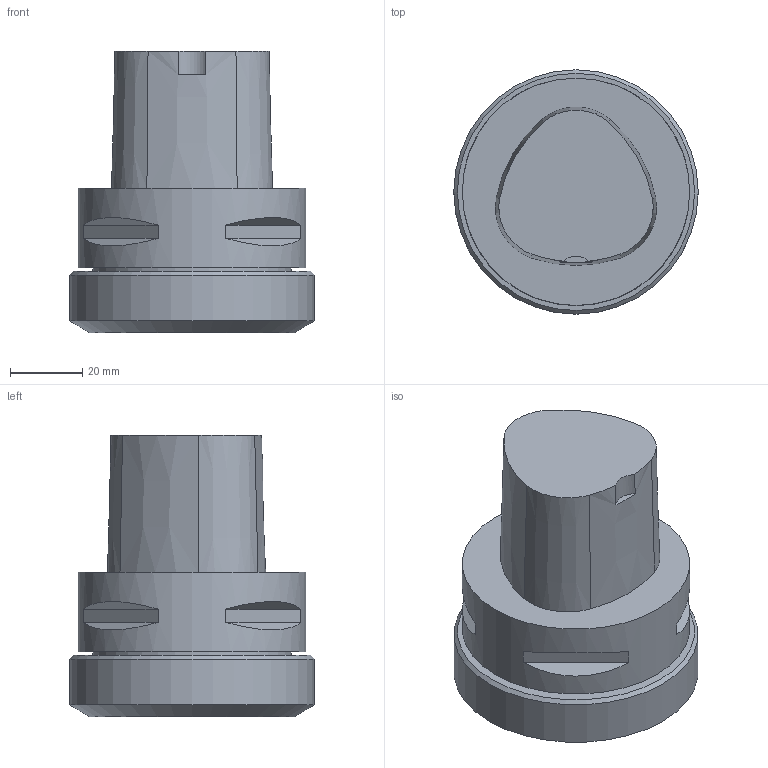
import cadquery as cq
import math

FLANGE_DIAMETER = 67.7
FLANGE_TOP = 17.0
FLANGE_TOP_CHAMFER = 1.0
BOTTOM_DIAMETER = 56.7
BOTTOM_CONE_HEIGHT = 3.3

NECK_DIAMETER = 55.0
NECK_HEIGHT = 1.0
BODY_DIAMETER = 63.0
BODY_TOP = 40.0

TOTAL_HEIGHT = 78.0
LOBE_COUNT = 3
LOBE_REACH = 23.5
SIDE_REACH = 20.4
LOBE_RADIUS = 14.7
SHANK_TAPER = 1 / 20

SLOT_COUNT = 4
SLOT_CENTER_Z = 28.0
SLOT_FLOOR_WIDTH = 3.7
SLOT_DEPTH = 3.6
SLOT_WALL_ANGLE = 30.0

NOTCH_RADIUS = 5.5
NOTCH_DEPTH = 6.5
NOTCH_REACH = 17.9


def make_base():
    """Revolve the flange, neck and body about the Z axis."""
    flange_radius = FLANGE_DIAMETER / 2
    neck_radius = NECK_DIAMETER / 2
    body_radius = BODY_DIAMETER / 2
    neck_top = FLANGE_TOP + NECK_HEIGHT
    profile = [
        (0, 0),
        (BOTTOM_DIAMETER / 2, 0),
        (flange_radius, BOTTOM_CONE_HEIGHT),
        (flange_radius, FLANGE_TOP - FLANGE_TOP_CHAMFER),
        (flange_radius - FLANGE_TOP_CHAMFER, FLANGE_TOP),
        (neck_radius, FLANGE_TOP),
        (neck_radius, neck_top),
        (body_radius, neck_top),
        (body_radius, BODY_TOP),
        (0, BODY_TOP),
    ]
    return cq.Workplane("XZ").polyline(profile).close().revolve(360, (0, 0), (0, 1))


def polar(radius, angle):
    """Point at a radius and an angle in degrees from +X."""
    return (
        radius * math.cos(math.radians(angle)),
        radius * math.sin(math.radians(angle)),
    )


def make_shank():
    """Extrude the outline of tangent lobe and side arcs with a taper."""
    lobe_pitch = 360 / LOBE_COUNT
    half_pitch = lobe_pitch / 2

    lobe_offset = LOBE_REACH - LOBE_RADIUS
    radius_gap = SIDE_REACH - LOBE_RADIUS
    cos_half_pitch = math.cos(math.radians(half_pitch))
    side_offset = (lobe_offset**2 - radius_gap**2) / (2 * (radius_gap - lobe_offset * cos_half_pitch))
    side_radius = SIDE_REACH + side_offset

    across = lobe_offset * math.sin(math.radians(half_pitch))
    along = lobe_offset * cos_half_pitch + side_offset
    half_side_angle = math.atan2(across, along)
    tangent_x = side_radius * math.cos(half_side_angle) - side_offset
    tangent_y = side_radius * math.sin(half_side_angle)
    tangent_radius = math.hypot(tangent_x, tangent_y)
    tangent_angle = math.degrees(math.atan2(tangent_y, tangent_x))

    first_side = -90
    outline = cq.Workplane("XY", origin=(0, 0, BODY_TOP))
    outline = outline.moveTo(*polar(tangent_radius, first_side - tangent_angle))
    for index in range(LOBE_COUNT):
        side = first_side + index * lobe_pitch
        next_side = side + lobe_pitch
        outline = outline.threePointArc(
            polar(SIDE_REACH, side),
            polar(tangent_radius, side + tangent_angle),
        )
        outline = outline.threePointArc(
            polar(LOBE_REACH, side + half_pitch),
            polar(tangent_radius, next_side - tangent_angle),
        )
    taper_angle = math.degrees(math.atan(SHANK_TAPER / 2))
    return outline.close().extrude(TOTAL_HEIGHT - BODY_TOP, taper=taper_angle)


def make_slot_cutter():
    """Straight bar along Y with a trapezoid section that opens toward +X."""
    body_radius = BODY_DIAMETER / 2
    floor_x = body_radius - SLOT_DEPTH
    half_floor = SLOT_FLOOR_WIDTH / 2
    half_mouth = half_floor + SLOT_DEPTH * math.tan(math.radians(SLOT_WALL_ANGLE))
    section = [
        (floor_x, SLOT_CENTER_Z - half_floor),
        (body_radius, SLOT_CENTER_Z - half_mouth),
        (body_radius, SLOT_CENTER_Z + half_mouth),
        (floor_x, SLOT_CENTER_Z + half_floor),
    ]
    return cq.Workplane("XZ").polyline(section).close().extrude(body_radius, both=True)


def cut_slots(body):
    """Cut the gripper slots, evenly spaced and set midway between the axes."""
    pitch = 360 / SLOT_COUNT
    for index in range(SLOT_COUNT):
        angle = pitch / 2 + index * pitch
        body = body.cut(make_slot_cutter().rotate((0, 0, 0), (0, 0, 1), angle))
    return body


def make_notch_cutter():
    """Vertical cylinder that scoops the notch from the top of the shank."""
    notch_bottom = cq.Workplane("XY", origin=(0, 0, TOTAL_HEIGHT - NOTCH_DEPTH))
    return notch_bottom.center(0, -NOTCH_REACH - NOTCH_RADIUS).circle(NOTCH_RADIUS).extrude(NOTCH_DEPTH)


base = cut_slots(make_base())
shank = make_shank().cut(make_notch_cutter())
result = base.union(shank)